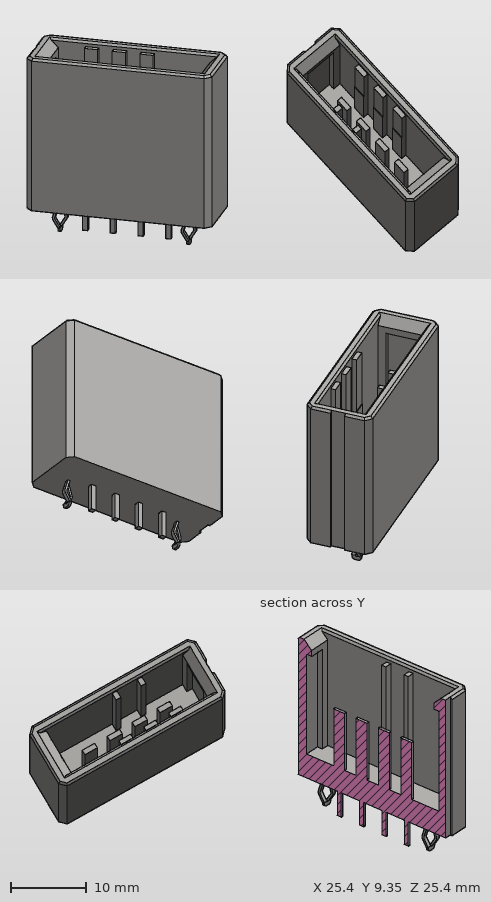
import cadquery as cq
import math


LENGTH = 25.43
WIDTH = 9.35
HEIGHT = 21.62
CORNER_CHAMFER = 0.85
RIM_CHAMFER = 0.3

CAVITY_LENGTH = 20.8
CAVITY_WIDTH = 6.71
FLOOR_THICKNESS = 3.81
END_LEAD_IN = 1.27
SIDE_LEAD_IN = 0.3

GROOVE_WIDTH = 1.98
GROOVE_DEPTH = 0.3

LATCH_WIDTH = 4.48
LATCH_DEPTH = 0.85
LATCH_DROP = 0.97

RIB_DROP = 0.75
WIDE_RIB_COUNT = 3
WIDE_RIB_WIDTH = 1.83
WIDE_RIB_DEPTH = 0.69
WIDE_RIB_STEP = 0.08
NARROW_RIB_WIDTH = 0.7
NARROW_RIB_DEPTH = 1.05

PITCH = 3.81
CONTACT_COUNT = 4
CONTACT_THICKNESS = 0.7
BLADE_WIDTH = 1.9
BLADE_TOP = 12.72
PIN_LENGTH = 3.8

PEG_X = 8.85
PEG_Y = -1.25
PEG_WIDTH = 1.42
LEG_WIDTH = 0.55
TIP_WIDTH = 1.35
TIP_THICKNESS = 0.33
TIP_TOP = -3.2
TIP_CORNER_RADIUS = 0.45
LEG_THICKNESS = 0.33
BEND_X = 0.3
BEND_Z = -1.8
BEND_RADIUS = 0.6
UPPER_LEAN = math.radians(17)
LOWER_LEAN = math.radians(32)
PEG_EMBED = 0.13

contact_xs = [(i - (CONTACT_COUNT - 1) / 2) * PITCH for i in range(CONTACT_COUNT)]


def block(size_x, size_y, bottom, top, x=0.0, y=0.0):
    """Upright box centred on (x, y) between two heights."""
    return (
        cq.Workplane("XY")
        .box(size_x, size_y, top - bottom, centered=(True, True, False))
        .translate((x, y, bottom))
    )


def flared_prism(plane, bottom_width, lead_in, depth):
    """Prism along the plane normal that flares at 45 degrees up to the housing rim."""
    half = bottom_width / 2
    return (
        cq.Workplane(plane)
        .polyline([
            (-half, FLOOR_THICKNESS),
            (half, FLOOR_THICKNESS),
            (half, HEIGHT - lead_in),
            (half + lead_in, HEIGHT),
            (-half - lead_in, HEIGHT),
            (-half, HEIGHT - lead_in),
        ])
        .close()
        .extrude(depth / 2, both=True)
    )


def make_housing():
    shell = block(LENGTH, WIDTH, 0, HEIGHT)
    shell = shell.edges("|Z").chamfer(CORNER_CHAMFER)
    shell = shell.faces(">Z").edges().chamfer(RIM_CHAMFER)

    end_flare = flared_prism("XZ", CAVITY_LENGTH, END_LEAD_IN, WIDTH)
    side_flare = flared_prism("YZ", CAVITY_WIDTH, SIDE_LEAD_IN, LENGTH)
    cavity = end_flare.intersect(side_flare)

    latch_top = HEIGHT - END_LEAD_IN - LATCH_DROP
    latches = block(CAVITY_LENGTH + 2 * LATCH_DEPTH, LATCH_WIDTH, FLOOR_THICKNESS, latch_top)

    groove = block(2 * GROOVE_DEPTH, GROOVE_WIDTH, 0, HEIGHT, x=-LENGTH / 2)
    return shell.cut(cavity).cut(latches).cut(groove)


def make_rib(x, width, depth, side, top=HEIGHT - RIB_DROP):
    """Rib on the +Y (side = 1) or -Y (side = -1) cavity wall, rooted in that wall."""
    wall_root = (WIDTH - CAVITY_WIDTH) / 4
    y = side * (CAVITY_WIDTH / 2 + (wall_root - depth) / 2)
    return block(width, depth + wall_root, FLOOR_THICKNESS, top, x, y)


def make_wide_rib(x):
    """Rib on the +Y wall that thickens slightly below the level of the blade tops."""
    upper = make_rib(x, WIDE_RIB_WIDTH, WIDE_RIB_DEPTH, 1)
    lower = make_rib(x, WIDE_RIB_WIDTH, WIDE_RIB_DEPTH + WIDE_RIB_STEP, 1, BLADE_TOP)
    return upper.union(lower)


def make_contact(x):
    blade = block(BLADE_WIDTH, CONTACT_THICKNESS, FLOOR_THICKNESS, BLADE_TOP, x)
    pin = block(CONTACT_THICKNESS, CONTACT_THICKNESS, -PIN_LENGTH, FLOOR_THICKNESS, x)
    return blade.union(pin)


def bend_point(radius, angle):
    """Point on an arc about the bend centre; angles are measured up from the outward direction."""
    return (BEND_X + radius * math.cos(angle), BEND_Z + radius * math.sin(angle))


def upper_end(radius):
    """Where the upper straight, tangent to the bend, ends just inside the housing floor."""
    x, z = bend_point(radius, UPPER_LEAN)
    return (x - (PEG_EMBED - z) * math.tan(UPPER_LEAN), PEG_EMBED)


def lower_end(radius, x_end):
    """Where the lower straight, tangent to the bend, reaches the given x."""
    x, z = bend_point(radius, -LOWER_LEAN)
    return (x_end, z - (x - x_end) / math.tan(LOWER_LEAN))


def make_leg(bow_side, y):
    """Leg bowed towards +X (bow_side = 1) or -X (bow_side = -1), centred on y."""
    outer = BEND_RADIUS
    inner = BEND_RADIUS - LEG_THICKNESS
    half_tip = TIP_THICKNESS / 2
    leg = (
        cq.Workplane("XZ")
        .moveTo(*upper_end(outer))
        .lineTo(*bend_point(outer, UPPER_LEAN))
        .threePointArc(bend_point(outer, 0), bend_point(outer, -LOWER_LEAN))
        .lineTo(*lower_end(outer, half_tip))
        .lineTo(half_tip, TIP_TOP)
        .lineTo(-half_tip, TIP_TOP)
        .lineTo(*lower_end(inner, -half_tip))
        .lineTo(*bend_point(inner, -LOWER_LEAN))
        .threePointArc(bend_point(inner, 0), bend_point(inner, UPPER_LEAN))
        .lineTo(*upper_end(inner))
        .close()
        .extrude(LEG_WIDTH / 2, both=True)
    )
    if bow_side < 0:
        leg = leg.mirror("YZ")
    return leg.translate((0, y, 0))


def make_peg(x):
    leg_offset = (PEG_WIDTH - LEG_WIDTH) / 2
    tip = block(TIP_THICKNESS, TIP_WIDTH, -PIN_LENGTH, TIP_TOP)
    tip = tip.faces("<Z").edges("|X").fillet(TIP_CORNER_RADIUS)
    peg = tip.union(make_leg(1, leg_offset)).union(make_leg(-1, -leg_offset))
    return peg.translate((x, PEG_Y, 0))


result = make_housing()

for contact_x in contact_xs:
    result = result.union(make_contact(contact_x))

for rib_x in contact_xs[:WIDE_RIB_COUNT]:
    result = result.union(make_wide_rib(rib_x))

for contact_x in contact_xs[:WIDE_RIB_COUNT - 1]:
    rib_x = contact_x + PITCH / 2
    result = result.union(make_rib(rib_x, NARROW_RIB_WIDTH, NARROW_RIB_DEPTH, -1))

for peg_x in (-PEG_X, PEG_X):
    result = result.union(make_peg(peg_x))